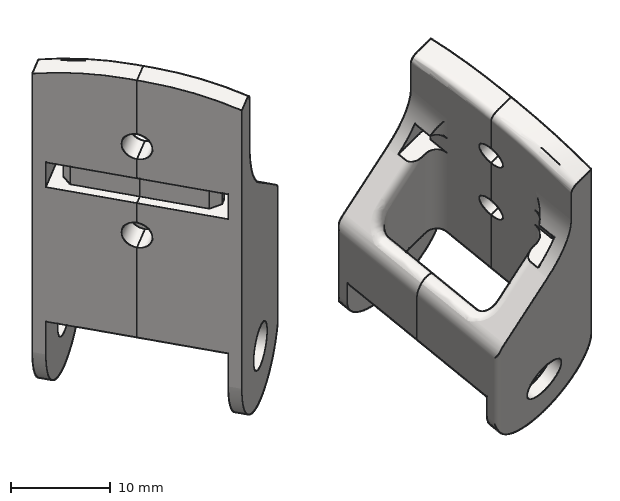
import cadquery as cq
import math

WIDTH = 21.8
DEPTH = 14.0
HEIGHT = 44.65
HALF_WIDTH = WIDTH / 2

PLATE_THICKNESS = 3.0
SLOPE_ANGLE = math.radians(40)
HOLLOW_RADIUS = 10.0
HOLLOW_TOP_Z = 36.23
BROW_RADIUS = 3.0
LUG_RADIUS = DEPTH / 2
PIVOT_DIAMETER = 5.1
BACK_EDGE_RADIUS = 0.45

CROWN_RISE = 1.5
CROWN_FLAT_HALF = 0.9
TOP_EDGE_RADIUS = 1.0

LUG_THICKNESS = 1.45
LUG_GAP_HALF = HALF_WIDTH - LUG_THICKNESS
BODY_BOTTOM_Z = 11.25
CAVITY_HALF = 7.5
BACK_WALL = 2.4
CAVITY_CORNER_RADIUS = 1.5
RIM_RADIUS = 1.0

SCREW_DIAMETER = 3.2
SCREW_HEIGHTS = (24.55, 36.05)
SLOT_BOTTOM_Z = 28.72
SLOT_HEIGHT = 3.2
TONGUE_RECESS = 1.05
TONGUE_FRONT_HALF = 7.25
TONGUE_BACK_HALF = 8.25


def side_profile():
    """Plate, sloping back and round lug, swept across the full width."""
    def arc_shift(radius, turn):
        return radius * (1 - math.cos(turn)), radius * math.sin(turn)

    turn = math.pi / 2 - SLOPE_ANGLE
    hollow_dy, hollow_dz = arc_shift(HOLLOW_RADIUS, turn)
    hollow_mid_dy, hollow_mid_dz = arc_shift(HOLLOW_RADIUS, turn / 2)
    brow_dy, brow_dz = arc_shift(BROW_RADIUS, turn)
    brow_mid_dy, brow_mid_dz = arc_shift(BROW_RADIUS, turn / 2)

    slope_top = (PLATE_THICKNESS + hollow_dy, HOLLOW_TOP_Z - hollow_dz)
    slope_end_y = DEPTH - brow_dy
    slope_end_z = slope_top[1] - (slope_end_y - slope_top[0]) * math.tan(SLOPE_ANGLE)
    brow_bottom_z = slope_end_z - brow_dz
    return (
        cq.Workplane("YZ", origin=(-HALF_WIDTH, 0, 0))
        .moveTo(0, LUG_RADIUS)
        .lineTo(0, HEIGHT)
        .lineTo(PLATE_THICKNESS, HEIGHT)
        .lineTo(PLATE_THICKNESS, HOLLOW_TOP_Z)
        .threePointArc((PLATE_THICKNESS + hollow_mid_dy, HOLLOW_TOP_Z - hollow_mid_dz), slope_top)
        .lineTo(slope_end_y, slope_end_z)
        .threePointArc((DEPTH - brow_mid_dy, brow_bottom_z + brow_mid_dz), (DEPTH, brow_bottom_z))
        .lineTo(DEPTH, LUG_RADIUS)
        .threePointArc((LUG_RADIUS, 0), (0, LUG_RADIUS))
        .close()
        .extrude(WIDTH)
    )


def crown_envelope():
    """Front outline with the crowned top, its back top edge rounded."""
    run = HALF_WIDTH - CROWN_FLAT_HALF
    radius = (run**2 + CROWN_RISE**2) / (2 * CROWN_RISE)
    mid_x = CROWN_FLAT_HALF + run / 2
    mid_z = HEIGHT - radius + math.sqrt(radius**2 - (run / 2) ** 2)
    shoulder_z = HEIGHT - CROWN_RISE
    outline = (
        cq.Workplane("XZ")
        .moveTo(-HALF_WIDTH, HOLLOW_TOP_Z)
        .lineTo(-HALF_WIDTH, shoulder_z)
        .threePointArc((-mid_x, mid_z), (-CROWN_FLAT_HALF, HEIGHT))
        .lineTo(CROWN_FLAT_HALF, HEIGHT)
        .threePointArc((mid_x, mid_z), (HALF_WIDTH, shoulder_z))
        .lineTo(HALF_WIDTH, HOLLOW_TOP_Z)
        .close()
    )
    plate_top = outline.extrude(-PLATE_THICKNESS)
    top_edges = cq.selectors.BoxSelector(
        (-WIDTH, PLATE_THICKNESS - 0.05, shoulder_z - 0.05),
        (WIDTH, PLATE_THICKNESS + 0.05, HEIGHT + 0.05),
    )
    plate_top = plate_top.edges(top_edges).edges("not |Z").fillet(TOP_EDGE_RADIUS)
    lower_part = cq.Workplane("XY").box(WIDTH, DEPTH, HOLLOW_TOP_Z, centered=(True, False, False))
    return lower_part.union(plate_top)


def footprint():
    """Vertical block whose two back edges are rounded."""
    block = cq.Workplane("XY").box(WIDTH, DEPTH, HEIGHT, centered=(True, False, False))
    return block.edges(">Y and |Z").fillet(BACK_EDGE_RADIUS)


def cavity():
    """Vertical passage behind the plate, with rounded corners."""
    return (
        cq.Workplane("XY")
        .box(2 * CAVITY_HALF, DEPTH - BACK_WALL - PLATE_THICKNESS, HEIGHT, centered=(True, False, False))
        .translate((0, PLATE_THICKNESS, 0))
        .edges("|Z")
        .fillet(CAVITY_CORNER_RADIUS)
    )


def lug_gap():
    return cq.Workplane("XY").box(2 * LUG_GAP_HALF, DEPTH, BODY_BOTTOM_Z, centered=(True, False, False))


def pivot_hole():
    return (
        cq.Workplane("YZ", origin=(-HALF_WIDTH, LUG_RADIUS, LUG_RADIUS))
        .circle(PIVOT_DIAMETER / 2)
        .extrude(WIDTH)
    )


def screw_holes():
    return (
        cq.Workplane("XZ")
        .pushPoints([(0, z) for z in SCREW_HEIGHTS])
        .circle(SCREW_DIAMETER / 2)
        .extrude(-(DEPTH - BACK_WALL))
    )


def strap_slot():
    """Slot through the body, passing on both sides of a recessed, bevelled tongue."""
    slot = cq.Workplane("XY").box(2 * LUG_GAP_HALF, DEPTH, SLOT_HEIGHT, centered=(True, False, False))
    bevel = TONGUE_BACK_HALF - TONGUE_FRONT_HALF
    tongue = (
        cq.Workplane("XY")
        .polyline([
            (-TONGUE_FRONT_HALF, TONGUE_RECESS),
            (TONGUE_FRONT_HALF, TONGUE_RECESS),
            (TONGUE_BACK_HALF, TONGUE_RECESS + bevel),
            (TONGUE_BACK_HALF, PLATE_THICKNESS),
            (-TONGUE_BACK_HALF, PLATE_THICKNESS),
            (-TONGUE_BACK_HALF, TONGUE_RECESS + bevel),
        ])
        .close()
        .extrude(SLOT_HEIGHT)
    )
    return slot.cut(tongue).translate((0, 0, SLOT_BOTTOM_Z))


def round_cavity_rim(body):
    """Round the cavity mouth below the slot, where the slot floor ends the rounding."""
    below_slot = cq.Workplane("XY").box(WIDTH, DEPTH, SLOT_BOTTOM_Z, centered=(True, False, False))
    lower = body.intersect(below_slot)
    upper = body.cut(below_slot)
    rim = cq.selectors.BoxSelector(
        (-CAVITY_HALF - 0.05, PLATE_THICKNESS + CAVITY_CORNER_RADIUS, BODY_BOTTOM_Z + LUG_RADIUS),
        (CAVITY_HALF + 0.05, DEPTH - BACK_WALL + 0.05, SLOT_BOTTOM_Z - 0.05),
    )
    lower = lower.edges(rim).edges("not |Z").fillet(RIM_RADIUS)
    return lower.union(upper)


def whole_bracket():
    body = side_profile().intersect(crown_envelope()).intersect(footprint()).cut(cavity())
    body = round_cavity_rim(body)
    return body.cut(lug_gap()).cut(pivot_hole()).cut(screw_holes()).cut(strap_slot())


def bracket_half(side):
    """One half of the bracket, parted on the X = 0 plane; side is -1 or 1."""
    half_space = (
        cq.Workplane("XY")
        .box(HALF_WIDTH, DEPTH, HEIGHT, centered=(True, False, False))
        .translate((side * HALF_WIDTH / 2, 0, 0))
    )
    return whole_bracket().intersect(half_space)


halves = [bracket_half(side).val() for side in (-1, 1)]
result = cq.Compound.makeCompound(halves)